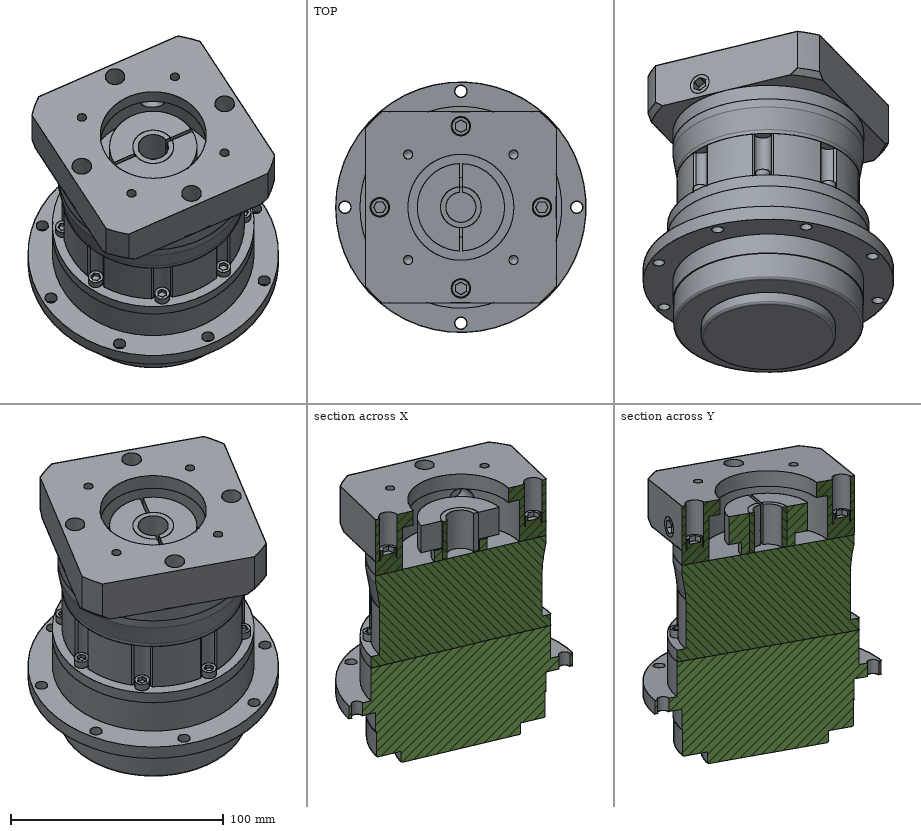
import cadquery as cq
import math

output_hub_top = 6.0
pilot_step_z = 19.8
flange_bottom = 30.0
flange_top = 37.1
housing_joint_z = 54.7
rim_top = 60.7
collar_bottom = 85.8
cone_bottom = 87.8
cone_top = 99.0
adapter_joint_z = 103.5
square_bottom = 110.8
overall_height = 133.5

output_hub_radius = 31.6
lower_pilot_radius = 44.6
pilot_radius = 45.0
flange_radius = 59.0
rim_radius = 47.5
edge_rounding = 1.1
flange_hole_count = 8
flange_hole_radius = 2.8
flange_hole_circle = 54.6

gear_body_radius = 43.0
collar_radius = 43.1
screw_count = 8
screw_circle = 42.7
screw_head_radius = 3.5
screw_head_height = 3.9
screw_socket_radius = 2.3
screw_socket_depth = 2.0
groove_radius = 4.0
groove_flare_start = 41.9
groove_flare_half_width = 5.3

adapter_side = 2 * pilot_radius
corner_radius = 58.3
corner_bevel_height = 2.8
corner_bevel_width = 2.3
motor_pilot_radius = 25.0
motor_pilot_depth = 7.9
cavity_radius = 30.7
tapped_hole_spacing = 49.7
tapped_hole_radius = 2.1
tapped_hole_depth = 13.4
drill_tip_angle = 118.0
adapter_screw_count = 4
adapter_screw_circle = 38.2
adapter_screw_hole_radius = 4.5
adapter_screw_head_radius = 4.1
adapter_screw_head_height = 5.3
adapter_socket_radius = 3.0
adapter_socket_depth = 2.7

plug_y = 14.0
plug_z = 117.7
plug_radius = 5.0
plug_length = 8.0
plug_socket_radius = 3.5
plug_socket_depth = 5.3

hub_top = 123.9
clamp_bottom = 109.5
clamp_radius = 20.5
hub_neck_radius = 14.0
bushing_radius = 9.6
bushing_bore_radius = 7.1
slot_width = 1.5


def cylinder(radius, bottom, top, x=0.0, y=0.0):
    """Upright cylinder between two heights."""
    return cq.Workplane("XY", origin=(x, y, bottom)).circle(radius).extrude(top - bottom)


def turned(profile):
    """Solid of revolution about Z from (radius, height) points, with its seam on the -X side."""
    points = [(-radius, height) for radius, height in profile]
    return cq.Workplane("XZ").polyline(points).close().revolve(360, (0, 0, 0), (0, 1, 0))


def hexagon(corner_distance, bottom, top):
    """Upright hexagonal prism on the Z axis with corners on the X axis."""
    return cq.Workplane("XY", origin=(0, 0, bottom)).polygon(6, 2 * corner_distance).extrude(top - bottom)


def around_axis(shape, count, start_angle=0.0):
    """Equally spaced copies of a shape about the Z axis."""
    step = 360.0 / count
    return [shape.rotate((0, 0, 0), (0, 0, 1), start_angle + step * i) for i in range(count)]


def make_output_housing():
    """Flanged output housing with its output hub."""
    body = turned([
        (0, output_hub_top),
        (lower_pilot_radius, output_hub_top),
        (lower_pilot_radius, pilot_step_z),
        (pilot_radius, pilot_step_z),
        (pilot_radius, flange_bottom),
        (flange_radius, flange_bottom),
        (flange_radius, flange_top),
        (rim_radius, flange_top),
        (rim_radius, housing_joint_z),
        (0, housing_joint_z),
    ]).faces("<Z").edges().fillet(edge_rounding)
    hub = cylinder(output_hub_radius, 0, output_hub_top).faces("<Z").edges().fillet(edge_rounding)
    body = body.union(hub)
    hole = cylinder(flange_hole_radius, flange_bottom, flange_top, x=flange_hole_circle)
    for flange_hole in around_axis(hole, flange_hole_count):
        body = body.cut(flange_hole)
    return body


def make_screw_groove():
    """Vertical round groove with flared sides, cut at the +X side of the gear housing."""
    height = collar_bottom - rim_top
    flare_start_half_width = math.sqrt(groove_radius**2 - (screw_circle - groove_flare_start) ** 2)
    flare_slope = (groove_flare_half_width - flare_start_half_width) / (gear_body_radius - groove_flare_start)
    outer = screw_circle + groove_radius
    outer_half_width = flare_start_half_width + flare_slope * (outer - groove_flare_start)
    flare = (
        cq.Workplane("XY", origin=(0, 0, rim_top))
        .polyline([
            (groove_flare_start, -flare_start_half_width),
            (outer, -outer_half_width),
            (outer, outer_half_width),
            (groove_flare_start, flare_start_half_width),
        ])
        .close()
        .extrude(height)
    )
    return cylinder(groove_radius, rim_top, collar_bottom, x=screw_circle).union(flare)


def make_housing_screw_head():
    """Socket screw head standing on the rim at the +X side."""
    head_top = rim_top + screw_head_height
    head = cylinder(screw_head_radius, rim_top, head_top)
    socket = hexagon(screw_socket_radius, head_top - screw_socket_depth, head_top)
    return head.cut(socket).translate((screw_circle, 0, 0))


def make_gear_housing():
    """Gear housing with a conical top, grooved sides and its ring of screw heads."""
    body = turned([
        (0, housing_joint_z),
        (rim_radius, housing_joint_z),
        (rim_radius, rim_top),
        (gear_body_radius, rim_top),
        (gear_body_radius, collar_bottom),
        (collar_radius, collar_bottom),
        (collar_radius, cone_bottom),
        (pilot_radius, cone_top),
        (pilot_radius, adapter_joint_z),
        (0, adapter_joint_z),
    ])
    first_angle = 180.0 / screw_count
    for groove in around_axis(make_screw_groove(), screw_count, first_angle):
        body = body.cut(groove)
    for head in around_axis(make_housing_screw_head(), screw_count, first_angle):
        body = body.union(head)
    return body


def make_adapter_blank():
    """Square adapter with turned, bevelled corners on a round base."""
    square = (
        cq.Workplane("XY", origin=(0, 0, square_bottom))
        .rect(adapter_side, adapter_side)
        .extrude(overall_height - square_bottom)
    )
    corner_turning = turned([
        (0, square_bottom),
        (corner_radius - corner_bevel_width, square_bottom),
        (corner_radius, square_bottom + corner_bevel_height),
        (corner_radius, overall_height),
        (0, overall_height),
    ])
    base = turned([
        (0, adapter_joint_z),
        (pilot_radius, adapter_joint_z),
        (pilot_radius, square_bottom),
        (0, square_bottom),
    ])
    return square.intersect(corner_turning).union(base)


def make_tapped_hole():
    """Blind hole with a conical drill tip, on the Z axis."""
    wall_bottom = overall_height - tapped_hole_depth
    tip_height = tapped_hole_radius / math.tan(math.radians(drill_tip_angle / 2))
    return turned([
        (0, wall_bottom - tip_height),
        (tapped_hole_radius, wall_bottom),
        (tapped_hole_radius, overall_height),
        (0, overall_height),
    ])


def make_adapter_screw_hole():
    """Deep hole at the +X side, leaving a socket screw head standing on its floor."""
    head_top = square_bottom + adapter_screw_head_height
    head = cylinder(adapter_screw_head_radius, square_bottom, head_top)
    socket = hexagon(adapter_socket_radius, head_top - adapter_socket_depth, head_top)
    hole = cylinder(adapter_screw_hole_radius, square_bottom, overall_height)
    return hole.cut(head.cut(socket)).translate((adapter_screw_circle, 0, 0))


def plug_cylinder(length):
    """Cylinder of the plug's diameter going in from the -X side face."""
    return (
        cq.Workplane("YZ", origin=(-adapter_side / 2, plug_y, plug_z))
        .circle(plug_radius)
        .extrude(length)
    )


def make_adapter():
    """Motor adapter with its bore, mounting holes, screws and plug hole."""
    body = make_adapter_blank()
    pilot_bottom = overall_height - motor_pilot_depth
    body = body.cut(cylinder(motor_pilot_radius, pilot_bottom, overall_height))
    body = body.cut(cylinder(cavity_radius, adapter_joint_z, pilot_bottom))
    tapped_hole = make_tapped_hole()
    for x in (-tapped_hole_spacing / 2, tapped_hole_spacing / 2):
        for y in (-tapped_hole_spacing / 2, tapped_hole_spacing / 2):
            body = body.cut(tapped_hole.translate((x, y, 0)))
    for screw_hole in around_axis(make_adapter_screw_hole(), adapter_screw_count):
        body = body.cut(screw_hole)
    return body.cut(plug_cylinder(adapter_side / 2))


def make_access_plug():
    """Plug flush with the adapter side, with a hexagon socket whose corners point up and down."""
    socket = (
        cq.Workplane("YZ", origin=(-adapter_side / 2, plug_y, plug_z))
        .transformed(rotate=(0, 0, 90))
        .polygon(6, 2 * plug_socket_radius)
        .extrude(plug_socket_depth)
    )
    return plug_cylinder(plug_length).cut(socket)


def make_input_hub():
    """Clamping hub on a narrower neck, slotted across the clamping part."""
    hub = cylinder(hub_neck_radius, adapter_joint_z, clamp_bottom)
    hub = hub.union(cylinder(clamp_radius, clamp_bottom, hub_top))
    hub = hub.cut(cylinder(bushing_radius, adapter_joint_z, hub_top))
    slot_height = hub_top - clamp_bottom
    slot = (
        cq.Workplane("XY", origin=(0, 0, clamp_bottom))
        .rect(slot_width, 2 * clamp_radius)
        .extrude(slot_height)
    )
    return hub.cut(slot)


def make_bushing():
    """Bushing inside the hub, slit along its +Y side."""
    bushing = cylinder(bushing_radius, adapter_joint_z, hub_top)
    bushing = bushing.cut(cylinder(bushing_bore_radius, adapter_joint_z, hub_top))
    slit = (
        cq.Workplane("XY", origin=(0, bushing_radius / 2, adapter_joint_z))
        .rect(slot_width, bushing_radius)
        .extrude(hub_top - adapter_joint_z)
    )
    return bushing.cut(slit)


output_housing = make_output_housing()
gear_housing = make_gear_housing()
adapter = make_adapter()
access_plug = make_access_plug()
input_hub = make_input_hub()
bushing = make_bushing()

result = cq.Compound.makeCompound([
    output_housing.val(),
    gear_housing.val(),
    adapter.val(),
    access_plug.val(),
    input_hub.val(),
    bushing.val(),
])